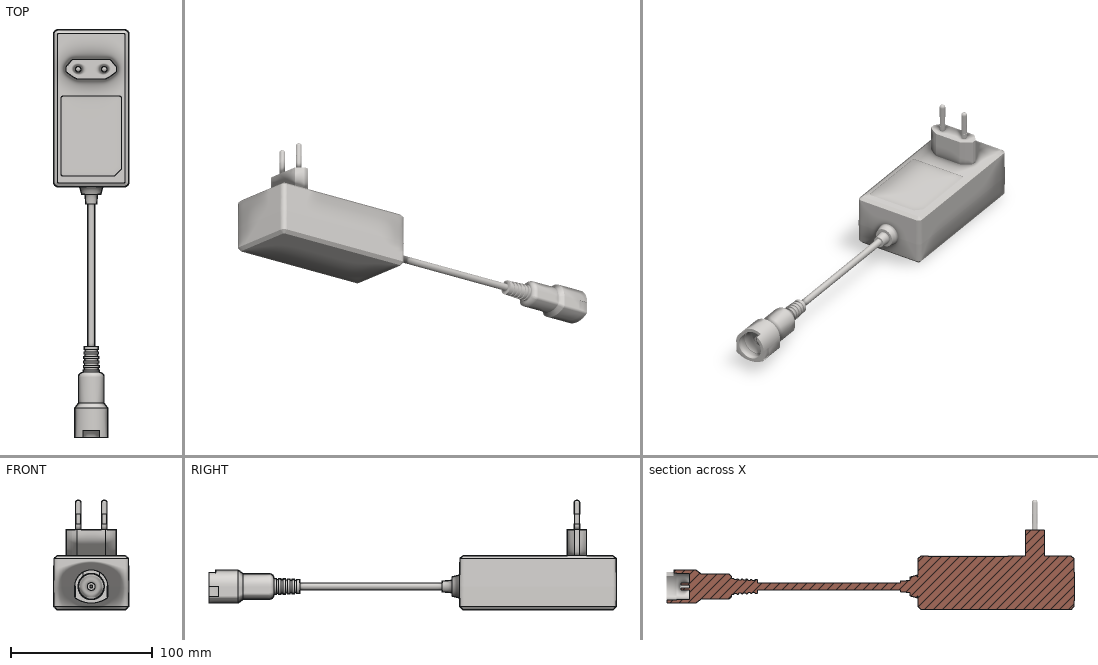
import cadquery as cq


TOTAL_LENGTH = 288.2
EMBED = 1.0

BODY_WIDTH = 53.49
BODY_LENGTH = 111.2
BODY_TOP = 21.8
BODY_BOTTOM = -16.5
BODY_CORNER_RADIUS = 3.5
BODY_DRAFT = 1.0
TOP_BEVEL_DROP = 1.9
TOP_BEVEL_INSET = 2.5
BOTTOM_BEVEL_RISE = 2.4
BOTTOM_BEVEL_INSET = 2.2

LABEL_WIDTH = 42.8
LABEL_FRONT = 7.7
LABEL_BACK = 64.1
LABEL_DEPTH = 0.3
LABEL_CORNER_RADIUS = 1.5
LABEL_CUT_CORNER = 5.0

PLUG_Y = 83.1
PLUG_TOP = 40.2
PLUG_HALF_WIDTH = 17.8
PLUG_HALF_DEPTH = 6.9
PLUG_TIP_HALF = 1.7
PLUG_SHOULDER = 13.4
PLUG_FRONT_FLAT_HALF = 10.0
PLUG_FRONT_BEVEL = 1.8
PIN_SPACING = 18.4
PIN_DIAMETER = 4.0
PIN_TOP = 61.0
PIN_TIP_ROUNDING = 1.8
SLEEVE_DIAMETER = 3.8
SLEEVE_BOTTOM = 44.2
SLEEVE_TOP = 51.2

CABLE_DIAMETER = 5.0
RELIEF_BASE_RADIUS = 8.2
RELIEF_CONE_RADIUS = 6.8
RELIEF_CONE_END = -5.3
RELIEF_NECK_RADIUS = 4.5
RELIEF_END_RADIUS = 3.9
RELIEF_END = -12.2

BOOT_START = -112.6
BOOT_FIRST_RING_LENGTH = 2.4
BOOT_STEP = 1.58
BOOT_RING_COUNT = 6
BOOT_START_RADIUS = 5.0
BOOT_END_RADIUS = 5.8
BOOT_GROOVE_DEPTH = 0.7

BARREL_START = -130.9
BARREL_RADIUS = 9.15
BARREL_SIDE_DROP = 5.9
BARREL_ROUNDING = 3.5
BEVEL_START = -152.8
HEAD_START = -156.2
HEAD_RADIUS = 11.7
HEAD_SIDE_DROP = 7.8
PROFILE_CORNER_RADIUS = 2.0
SELECT_MARGIN = 0.1
CONNECTOR_END = BODY_LENGTH - TOTAL_LENGTH
SOCKET_RADIUS = 8.9
SOCKET_DEPTH = 16.0
MOUTH_RADIUS = 9.3
MOUTH_DEPTH = 6.9
CONTACT_OUTER_DIAMETER = 5.5
CONTACT_INNER_DIAMETER = 2.1
CONTACT_HEIGHT = 6.0
KEY_NOTCH_WIDTH = 12.0
KEY_NOTCH_LENGTH = 4.9
SIDE_RECESS_DEPTH = 0.5
SIDE_RECESS_HEIGHT = 7.2


def plane_across_cable(y):
    """Plane square to the cable at the given Y, facing the connector end (-Y)."""
    return cq.Workplane("XZ", origin=(0, y, 0))


def make_half_shell(height):
    """Shell from the widest plane at Z = 0, drawn in by the draft; negative height goes down."""
    outline = (
        cq.Sketch()
        .rect(BODY_WIDTH, BODY_LENGTH)
        .vertices()
        .fillet(BODY_CORNER_RADIUS)
    )
    return (
        cq.Workplane("XY", origin=(0, BODY_LENGTH / 2, 0))
        .placeSketch(outline)
        .extrude(height, taper=BODY_DRAFT)
    )


def make_housing():
    upper = make_half_shell(BODY_TOP).faces(">Z").chamfer(TOP_BEVEL_DROP, TOP_BEVEL_INSET)
    lower = make_half_shell(BODY_BOTTOM).faces("<Z").chamfer(BOTTOM_BEVEL_RISE, BOTTOM_BEVEL_INSET)
    return upper.union(lower)


def make_label_recess():
    half = LABEL_WIDTH / 2
    return (
        cq.Workplane("XY", origin=(0, 0, BODY_TOP - LABEL_DEPTH))
        .moveTo(-half, LABEL_FRONT)
        .lineTo(half - LABEL_CUT_CORNER, LABEL_FRONT)
        .lineTo(half, LABEL_FRONT + LABEL_CUT_CORNER)
        .lineTo(half, LABEL_BACK)
        .lineTo(-half, LABEL_BACK)
        .close()
        .extrude(LABEL_DEPTH)
        .edges("|Z and (<X or >Y)")
        .fillet(LABEL_CORNER_RADIUS)
    )


def make_plug_block():
    right_side = [
        (PLUG_FRONT_FLAT_HALF, -PLUG_HALF_DEPTH),
        (PLUG_SHOULDER, -PLUG_HALF_DEPTH + PLUG_FRONT_BEVEL),
        (PLUG_HALF_WIDTH, -PLUG_TIP_HALF),
        (PLUG_HALF_WIDTH, PLUG_TIP_HALF),
        (PLUG_SHOULDER, PLUG_HALF_DEPTH),
    ]
    left_side = [(-x, y) for x, y in reversed(right_side)]
    base = BODY_TOP - EMBED
    return (
        cq.Workplane("XY", origin=(0, PLUG_Y, base))
        .polyline(right_side + left_side)
        .close()
        .extrude(PLUG_TOP - base)
    )


def make_pin(x):
    radius = PIN_DIAMETER / 2
    sleeve_radius = SLEEVE_DIAMETER / 2
    half_profile = [
        (0, BODY_TOP),
        (radius, BODY_TOP),
        (radius, SLEEVE_BOTTOM),
        (sleeve_radius, SLEEVE_BOTTOM),
        (sleeve_radius, SLEEVE_TOP),
        (radius, SLEEVE_TOP),
        (radius, PIN_TOP),
        (0, PIN_TOP),
    ]
    return (
        cq.Workplane("XZ")
        .polyline(half_profile)
        .close()
        .revolve(360, (0, 0, 0), (0, 1, 0))
        .faces(">Z")
        .edges()
        .fillet(PIN_TIP_ROUNDING)
        .translate((x, PLUG_Y, 0))
    )


def turned_about_cable(half_profile):
    """Revolve (radius, y) points about the cable axis."""
    return cq.Workplane("XY").polyline(half_profile).close().revolve(360, (0, 0, 0), (0, 1, 0))


def make_strain_relief():
    return turned_about_cable([
        (0, EMBED),
        (RELIEF_BASE_RADIUS, EMBED),
        (RELIEF_BASE_RADIUS, 0),
        (RELIEF_CONE_RADIUS, RELIEF_CONE_END),
        (RELIEF_NECK_RADIUS, RELIEF_CONE_END),
        (RELIEF_END_RADIUS, RELIEF_END),
        (0, RELIEF_END),
    ])


def make_cable():
    return plane_across_cable(EMBED).circle(CABLE_DIAMETER / 2).extrude(EMBED - BARREL_START)


def make_boot():
    """Tapered sleeve whose rings and grooves grow evenly towards the connector."""
    slope = (BOOT_END_RADIUS - BOOT_START_RADIUS) / (BOOT_START - BARREL_START)

    def ring_radius(y):
        return BOOT_START_RADIUS + slope * (BOOT_START - y)

    core = turned_about_cable([
        (0, BOOT_START),
        (ring_radius(BOOT_START) - BOOT_GROOVE_DEPTH, BOOT_START),
        (ring_radius(BARREL_START) - BOOT_GROOVE_DEPTH, BARREL_START),
        (0, BARREL_START),
    ])
    first_ring_end = BOOT_START - BOOT_FIRST_RING_LENGTH
    spans = [(BOOT_START, first_ring_end)]
    for i in range(1, BOOT_RING_COUNT):
        start = first_ring_end - (2 * i - 1) * BOOT_STEP
        spans.append((start, start - BOOT_STEP))
    boot = core
    for start, end in spans:
        ring = plane_across_cable(start).circle(ring_radius(end)).extrude(start - end)
        boot = boot.union(ring)
    return boot


def make_d_prism(radius, side_drop, start, end):
    """Round above the axis, straight-sided down to side_drop, then a flatter arc below."""
    prism = (
        plane_across_cable(start)
        .moveTo(-radius, 0)
        .threePointArc((0, radius), (radius, 0))
        .lineTo(radius, -side_drop)
        .threePointArc((0, -radius), (-radius, -side_drop))
        .close()
        .extrude(start - end)
    )
    lower_corners = cq.selectors.BoxSelector(
        (-2 * radius, start, -side_drop - SELECT_MARGIN),
        (2 * radius, end, -side_drop + SELECT_MARGIN),
    )
    return prism.edges("|Y").edges(lower_corners).fillet(PROFILE_CORNER_RADIUS)


def make_connector():
    barrel = make_d_prism(BARREL_RADIUS, BARREL_SIDE_DROP, BARREL_START, BEVEL_START)
    barrel = barrel.faces(">Y").edges().fillet(BARREL_ROUNDING)
    head = make_d_prism(HEAD_RADIUS, HEAD_SIDE_DROP, HEAD_START, CONNECTOR_END)
    bevel = cq.Solid.makeLoft(
        [barrel.faces("<Y").wires().val(), head.faces(">Y").wires().val()],
        True,
    )
    return barrel.union(cq.Workplane(bevel)).union(head)


def make_socket():
    floor = CONNECTOR_END + SOCKET_DEPTH
    bore = plane_across_cable(floor).circle(SOCKET_RADIUS).extrude(SOCKET_DEPTH)
    mouth = (
        plane_across_cable(CONNECTOR_END + MOUTH_DEPTH)
        .circle(MOUTH_RADIUS)
        .extrude(MOUTH_DEPTH)
    )
    contact = (
        plane_across_cable(floor)
        .circle(CONTACT_OUTER_DIAMETER / 2)
        .circle(CONTACT_INNER_DIAMETER / 2)
        .extrude(CONTACT_HEIGHT)
    )
    return bore.union(mouth).cut(contact)


def make_key_notch():
    """Slot through the upper wall of the socket, open at the connector end."""
    return cq.Workplane("XY", origin=(0, CONNECTOR_END, 0)).box(
        KEY_NOTCH_WIDTH,
        KEY_NOTCH_LENGTH,
        HEAD_RADIUS,
        centered=(True, False, False),
    )


def make_side_recess(side):
    """Shallow grip recess in one flat side; side is -1 or 1."""
    center = (side * HEAD_RADIUS, CONNECTOR_END + MOUTH_DEPTH / 2, -SIDE_RECESS_HEIGHT / 2)
    return cq.Workplane("XY", origin=center).box(
        2 * SIDE_RECESS_DEPTH,
        MOUTH_DEPTH,
        SIDE_RECESS_HEIGHT,
    )


result = make_housing().cut(make_label_recess()).union(make_plug_block())
for pin_x in (-PIN_SPACING / 2, PIN_SPACING / 2):
    result = result.union(make_pin(pin_x))

connector = make_connector().cut(make_socket()).cut(make_key_notch())
for recess_side in (-1, 1):
    connector = connector.cut(make_side_recess(recess_side))

result = result.union(make_strain_relief()).union(make_cable()).union(make_boot()).union(connector)